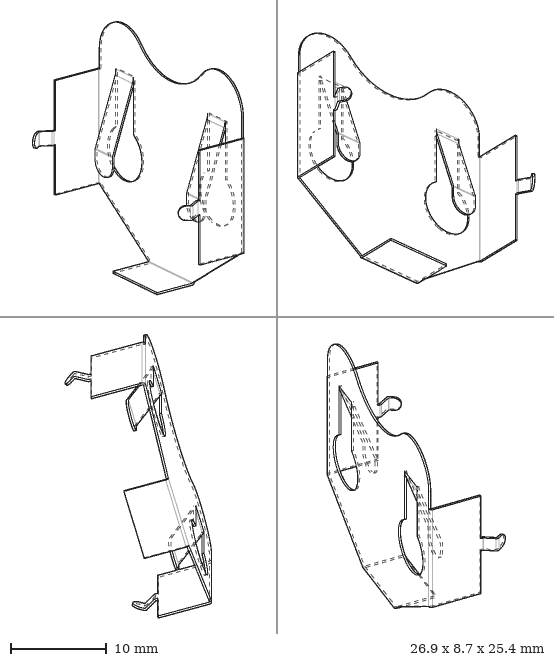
import cadquery as cq
import math

sheet = 0.25
bend_radius = 0.05
fold = sheet + bend_radius
mid_plate = -sheet / 2
overlap = 0.55

length = 26.9
height = 25.4

half_plate = 12.43
lobe_radius = 4.0
valley_z = 21.6

flange_bottom = 6.3
flange_height = 12.8
flange_depth = 5.86
tab_width = 1.61
tab_knee_y = -6.15
tab_setback = 0.091
tab_apex_x = length / 2 - tab_setback
tab_apex_y = -7.45
tab_depth = 8.7
tab_angle = math.radians(32)
tab_knee_radius = 0.08
tab_apex_radius = 0.05

ledge_width = 7.72
ledge_depth = 4.85

finger_x = 8.0
finger_width = 3.0
finger_reach = 2.95
finger_knee_z = 19.66
finger_knee_radius = 2.0
finger_crease_z = 11.7
finger_crease_radius = 0.03
finger_bottom = 9.05
slot_top = 20.0
slot_clearance = 0.08
hole_diameter = 6.0
hole_z = 11.0


def offset_path(path, distance):
    """Shift an open path sideways, to its left when positive, with mitred corners."""
    headings = [math.atan2(b[1] - a[1], b[0] - a[0]) for a, b in zip(path, path[1:])]
    shifted = []
    for i, (u, v) in enumerate(path):
        before = headings[max(i - 1, 0)]
        after = headings[min(i, len(headings) - 1)]
        normal = (before + after) / 2 + math.pi / 2
        reach = distance / math.cos((after - before) / 2)
        shifted.append((u + reach * math.cos(normal), v + reach * math.sin(normal)))
    return shifted


def folded_strip(plane, path, inner_radii, width):
    """Sheet strip along a mid-thickness path, centred on the plane, with rounded bends."""
    left = offset_path(path, sheet / 2)
    right = offset_path(path, -sheet / 2)
    strip = cq.Workplane(plane).polyline(left + right[::-1]).close().extrude(width / 2, both=True)
    for i, inner_radius in enumerate(inner_radii, start=1):
        (u0, v0), (u1, v1), (u2, v2) = path[i - 1:i + 2]
        turns_left = (u1 - u0) * (v2 - v1) > (v1 - v0) * (u2 - u1)
        inside, outside = (left[i], right[i]) if turns_left else (right[i], left[i])
        for corner, radius in ((inside, inner_radius), (outside, inner_radius + sheet)):
            point = cq.Plane.named(plane).toWorldCoords(corner).toTuple()
            strip = strip.edges(cq.NearestToPointSelector(point)).fillet(radius)
    return strip


def round_end(center, direction, normal, width):
    """Half disc of sheet that rounds off the end of a strip."""
    radius = width / 2
    return (
        cq.Workplane(cq.Plane(origin=center, xDir=direction, normal=normal))
        .moveTo(0, -radius)
        .threePointArc((radius, 0), (0, radius))
        .close()
        .extrude(sheet / 2, both=True)
    )


def make_plate():
    lobe_x = half_plate - lobe_radius
    lobe_z = height - lobe_radius
    rise = valley_z - lobe_z
    valley_radius = (lobe_radius**2 - lobe_x**2 - rise**2) / (2 * (rise - lobe_radius))
    share = lobe_radius / (lobe_radius + valley_radius)
    join_x = lobe_x * (1 - share)
    join_z = lobe_z + share * (rise + valley_radius)
    half_ledge = ledge_width / 2
    return (
        cq.Workplane("XZ")
        .moveTo(-half_ledge, fold)
        .lineTo(half_ledge, fold)
        .lineTo(half_plate, flange_bottom)
        .lineTo(half_plate, lobe_z)
        .threePointArc((lobe_x, height), (join_x, join_z))
        .threePointArc((0, valley_z), (-join_x, join_z))
        .threePointArc((-lobe_x, height), (-half_plate, lobe_z))
        .lineTo(-half_plate, flange_bottom)
        .close()
        .extrude(sheet)
    )


def make_window():
    """Slot and round hole behind the right-hand finger."""
    slot = (
        cq.Workplane("XZ")
        .center(finger_x + slot_clearance / 2, (slot_top + hole_z) / 2)
        .rect(finger_width + slot_clearance, slot_top - hole_z)
        .extrude(sheet)
    )
    hole = cq.Workplane("XZ").center(finger_x, hole_z).circle(hole_diameter / 2).extrude(sheet)
    return slot.union(hole)


def make_finger():
    """Right-hand finger, sloping forward and then dropping parallel to the plate."""
    tip_y = sheet / 2 - finger_reach
    tip_z = finger_bottom + finger_width / 2
    path = [
        (mid_plate, slot_top + overlap),
        (mid_plate, finger_knee_z),
        (tip_y, finger_crease_z),
        (tip_y, tip_z),
    ]
    finger = folded_strip("YZ", path, [finger_knee_radius, finger_crease_radius], finger_width)
    tip = round_end((0, tip_y, tip_z), (0, 0, -1), (0, 1, 0), finger_width)
    return finger.union(tip).translate((finger_x, 0, 0))


def make_flange():
    """Right-hand flange with its snap tab, kicked outward and then back in."""
    mid_flange = half_plate + bend_radius + sheet / 2
    mid_height = flange_bottom + flange_height / 2
    start = (half_plate - overlap, mid_plate)
    corner = (mid_flange, mid_plate)
    wall = folded_strip("XY", [start, corner, (mid_flange, -flange_depth)], [bend_radius], flange_height)

    heading = (-math.sin(tab_angle), -math.cos(tab_angle))
    tip_radius = tab_width / 2
    corner_drop = sheet / 2 * math.sin(tab_angle)
    leg = (tab_depth - corner_drop + tab_apex_y) / math.cos(tab_angle) - tip_radius
    tab_end = (tab_apex_x + leg * heading[0], tab_apex_y + leg * heading[1])
    tab_start = (mid_flange, overlap - flange_depth)
    path = [tab_start, (mid_flange, tab_knee_y), (tab_apex_x, tab_apex_y), tab_end]
    tab = folded_strip("XY", path, [tab_knee_radius, tab_apex_radius], tab_width)
    tip = round_end((*tab_end, 0), (*heading, 0), (heading[1], -heading[0], 0), tab_width)
    return wall.union(tab).union(tip).translate((0, 0, mid_height))


def make_ledge():
    mid_ledge = sheet / 2
    path = [(mid_plate, fold + overlap), (mid_plate, mid_ledge), (-ledge_depth, mid_ledge)]
    return folded_strip("YZ", path, [bend_radius], ledge_width)


def both_sides(body):
    return body.union(body.mirror("YZ"))


result = (
    make_plate()
    .cut(both_sides(make_window()))
    .union(both_sides(make_finger()))
    .union(both_sides(make_flange()))
    .union(make_ledge())
)